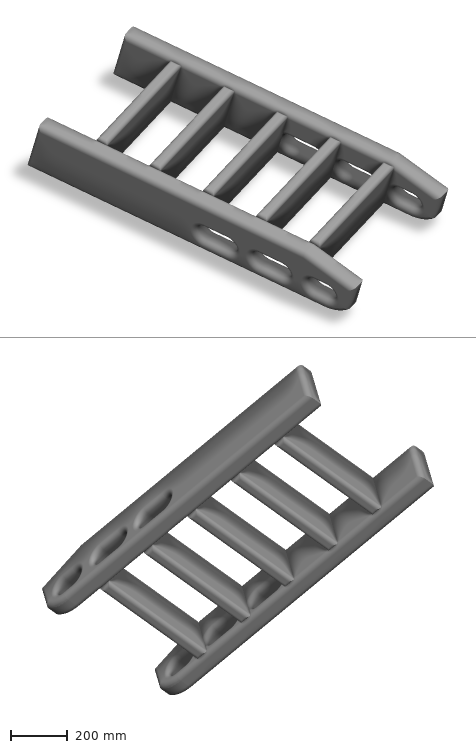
import cadquery as cq

length = 1397.0
width = 617.0
height = 225.0
board_thickness = 73.0
board_fillet = 20.0
rake = 50.0 / height

peak_x = 1185.0
nose_top_z = 162.0
nose_bottom_z = 42.0
arc_start_x = 1268.0

slot_ends = [(760.0, 858.0), (993.0, 1087.0), (1228.0, 1278.0)]
slot_z = 80.0
slot_height = 74.0

tread_count = 5
first_tread_x = 205.0
last_tread_x = 1112.0
tread_pitch = (last_tread_x - first_tread_x) / (tread_count - 1)
tread_run = 46.0
tread_fillet = 14.0
tread_length = width - 2 * board_thickness


def extrude_along_y(sketch, y_start, y_length):
    """Extrude an XZ sketch (whose normal is -Y) from y_start towards +Y."""
    return sketch.extrude(-y_length).translate((0, y_start, 0))


def board_blank(y_start):
    """Raked board with a sloping top and a lower nose arc tangent to the bottom edge."""
    nose_bottom_x = length - rake * (nose_top_z - nose_bottom_z)
    sketch = (
        cq.Workplane("XZ")
        .moveTo(0, 0)
        .lineTo(arc_start_x, 0)
        .tangentArcPoint((nose_bottom_x, nose_bottom_z), relative=False)
        .lineTo(length, nose_top_z)
        .lineTo(peak_x, height)
        .lineTo(rake * height, height)
        .close()
    )
    return extrude_along_y(sketch, y_start, board_thickness)


def hand_slot(start_x, end_x, y_start):
    centre_distance = end_x - start_x
    sketch = (
        cq.Workplane("XZ")
        .center((start_x + end_x) / 2, slot_z)
        .slot2D(centre_distance + slot_height, slot_height)
    )
    return extrude_along_y(sketch, y_start, board_thickness)


def make_side_board(y_start):
    board = board_blank(y_start)
    for start_x, end_x in slot_ends:
        board = board.cut(hand_slot(start_x, end_x, y_start))
    return board.faces("<Y or >Y").edges().fillet(board_fillet)


def make_tread(x_start):
    """Raked panel between the boards, rounded around its top and bottom faces."""
    sketch = cq.Workplane("XZ").polyline([
        (x_start, 0),
        (x_start + tread_run, 0),
        (x_start + tread_run + rake * height, height),
        (x_start + rake * height, height),
    ]).close()
    tread = extrude_along_y(sketch, -tread_length / 2, tread_length)
    return tread.faces("<Z or >Z").edges().fillet(tread_fillet)


near_board = make_side_board(-width / 2)
far_board = make_side_board(width / 2 - board_thickness)
treads = [make_tread(first_tread_x + i * tread_pitch) for i in range(tread_count)]

result = cq.Compound.makeCompound(
    [near_board.val(), far_board.val(), *[tread.val() for tread in treads]]
)